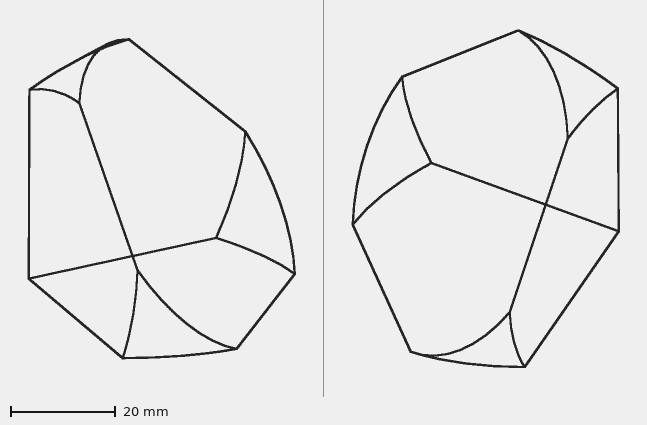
import cadquery as cq
import math

width = 64.95
depth = 39.1
face_angle = 35.0
side_count = 3

inradius = depth * math.tan(math.radians(face_angle))
circumradius = inradius / math.cos(math.pi / side_count)

normal_tilt = math.radians(30)
half_width = width / 2
corner_height = (half_width * math.cos(normal_tilt) - inradius) / math.sin(normal_tilt)
cylinder_radius = math.hypot(half_width, corner_height)


def make_pyramid():
    """Three-sided pyramid with its base on Y = 0 and its apex at -Y."""
    corners = []
    for i in range(side_count):
        angle = math.radians(-90) + i * 2 * math.pi / side_count
        x = circumradius * math.cos(angle)
        z = circumradius * math.sin(angle)
        corners.append(cq.Vector(x, 0, z))
    apex = cq.Vector(0, -depth, 0)

    faces = [cq.Face.makeFromWires(cq.Wire.makePolygon(corners, close=True))]
    for i in range(side_count):
        outline = [corners[i], corners[(i + 1) % side_count], apex]
        faces.append(cq.Face.makeFromWires(cq.Wire.makePolygon(outline, close=True)))
    return cq.Workplane(cq.Solid.makeSolid(cq.Shell.makeShell(faces)))


def make_cylinder():
    """Cylinder about the Y axis that rounds off the pyramid's base corners."""
    return cq.Workplane("XZ").circle(cylinder_radius).extrude(depth)


result = make_pyramid().intersect(make_cylinder())